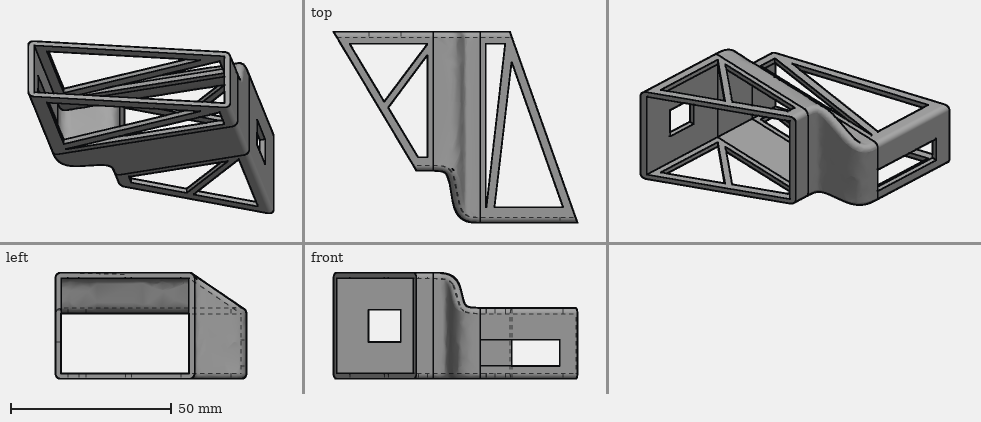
import cadquery as cq

WALL = 1.75
LENGTH = 76.2

INLET_DEPTH = 43.45
INLET_HEIGHT = 33.2
INLET_FRONT_X = 25.9
INLET_SEAM_X = 31.1

OUTLET_DEPTH = 59.7
OUTLET_HEIGHT = 22.2
OUTLET_SEAM_X = 45.8
OUTLET_BACK_X = 55.1

NEAR_REACH = 0.41
FAR_REACH = 0.66

RIB = 1.75
BACK_STRIP = 3.8
INLET_FRONT_STRIP = 4.3
OUTLET_FRONT_STRIP = 4.9

INLET_MOUTH_BACK_X = 5.1
INLET_STRUT_BACK_FOOT = (15.85, -21.8)
INLET_STRUT_FRONT_FOOT = (17.15, -23.7)
INLET_STRUT_TOP_Y = -7.3
INLET_MOUTH_FRONT_X = 26.45
OUTLET_STRUT_BACK_X = 53.6
OUTLET_STRUT_FRONT_X = 47.7
OUTLET_MOUTH_APEX = (55.65, -9.5)
OUTLET_MOUTH_LEFT_X = 50.3
OUTLET_MOUTH_RIGHT_X = 71.65

SQUARE_WINDOW = 10.0
SQUARE_WINDOW_X = 11.0
SQUARE_WINDOW_Z = 11.6
LONG_WINDOW_END_X = 70.6
LONG_WINDOW_Z = 4.1
LONG_WINDOW_HEIGHT = 8.1


def tube(depth, height):
    """Full-length rectangular tube with rounded outer and sharp inner corners."""
    outer = cq.Workplane("XY").box(LENGTH, depth, height, centered=False).edges("|X").fillet(WALL)
    bore = (
        cq.Workplane("XY")
        .box(LENGTH, depth - 2 * WALL, height - 2 * WALL, centered=False)
        .translate((0, WALL, WALL))
    )
    return outer.cut(bore).translate((0, -depth, 0))


def prism(points, height):
    """Upright prism over a plan outline."""
    return cq.Workplane("XY").polyline(points).close().extrude(height)


def make_inlet():
    plan = [
        (0, 0),
        (INLET_SEAM_X, 0),
        (INLET_SEAM_X, -INLET_DEPTH),
        (INLET_FRONT_X, -INLET_DEPTH),
    ]
    body = tube(INLET_DEPTH, INLET_HEIGHT).intersect(prism(plan, INLET_HEIGHT))

    opening_x = INLET_SEAM_X - RIB
    front_y = INLET_FRONT_STRIP - INLET_DEPTH
    back_opening = [
        (INLET_MOUTH_BACK_X, -BACK_STRIP),
        (opening_x, -BACK_STRIP),
        INLET_STRUT_BACK_FOOT,
    ]
    front_opening = [
        (opening_x, INLET_STRUT_TOP_Y),
        (opening_x, front_y),
        (INLET_MOUTH_FRONT_X, front_y),
        INLET_STRUT_FRONT_FOOT,
    ]
    for opening in (back_opening, front_opening):
        body = body.cut(prism(opening, INLET_HEIGHT))

    window = (
        cq.Workplane("XY")
        .box(SQUARE_WINDOW, WALL, SQUARE_WINDOW, centered=False)
        .translate((SQUARE_WINDOW_X, -WALL, SQUARE_WINDOW_Z))
    )
    return body.cut(window)


def s_profile(plane, fixed, start, end):
    """Closed profile with one straight side and one S-shaped side between the seams."""
    length = OUTLET_SEAM_X - INLET_SEAM_X
    near = NEAR_REACH * length
    far = FAR_REACH * length
    return (
        cq.Workplane(plane)
        .moveTo(INLET_SEAM_X, fixed)
        .lineTo(INLET_SEAM_X, start)
        .bezier([
            (INLET_SEAM_X, start),
            (INLET_SEAM_X + near, start),
            (INLET_SEAM_X + far, start),
            (OUTLET_SEAM_X - far, end),
            (OUTLET_SEAM_X - near, end),
            (OUTLET_SEAM_X, end),
        ])
        .lineTo(OUTLET_SEAM_X, fixed)
        .close()
    )


def make_transition():
    plan = s_profile("XY", -WALL, WALL - INLET_DEPTH, WALL - OUTLET_DEPTH).extrude(INLET_HEIGHT)
    elevation = s_profile("XZ", WALL, INLET_HEIGHT - WALL, OUTLET_HEIGHT - WALL).extrude(OUTLET_DEPTH)
    bore = plan.intersect(elevation)
    return bore.faces("<X or >X").shell(WALL, kind="arc")


def make_outlet():
    plan = [
        (OUTLET_SEAM_X, 0),
        (OUTLET_BACK_X, 0),
        (LENGTH, -OUTLET_DEPTH),
        (OUTLET_SEAM_X, -OUTLET_DEPTH),
    ]
    body = tube(OUTLET_DEPTH, OUTLET_HEIGHT).intersect(prism(plan, OUTLET_HEIGHT))

    opening_x = OUTLET_SEAM_X + RIB
    front_y = OUTLET_FRONT_STRIP - OUTLET_DEPTH
    seam_opening = [
        (opening_x, -BACK_STRIP),
        (OUTLET_STRUT_BACK_X, -BACK_STRIP),
        (OUTLET_STRUT_FRONT_X, front_y),
        (opening_x, front_y),
    ]
    mouth_opening = [
        OUTLET_MOUTH_APEX,
        (OUTLET_MOUTH_LEFT_X, front_y),
        (OUTLET_MOUTH_RIGHT_X, front_y),
    ]
    for opening in (seam_opening, mouth_opening):
        body = body.cut(prism(opening, OUTLET_HEIGHT))

    window = (
        cq.Workplane("XY")
        .box(LONG_WINDOW_END_X - OUTLET_SEAM_X, WALL, LONG_WINDOW_HEIGHT, centered=False)
        .translate((OUTLET_SEAM_X, -OUTLET_DEPTH, LONG_WINDOW_Z))
    )
    return body.cut(window)


inlet = make_inlet()
transition = make_transition()
outlet = make_outlet()

result = cq.Compound.makeCompound([inlet.solids().val(), transition.val(), outlet.solids().val()])